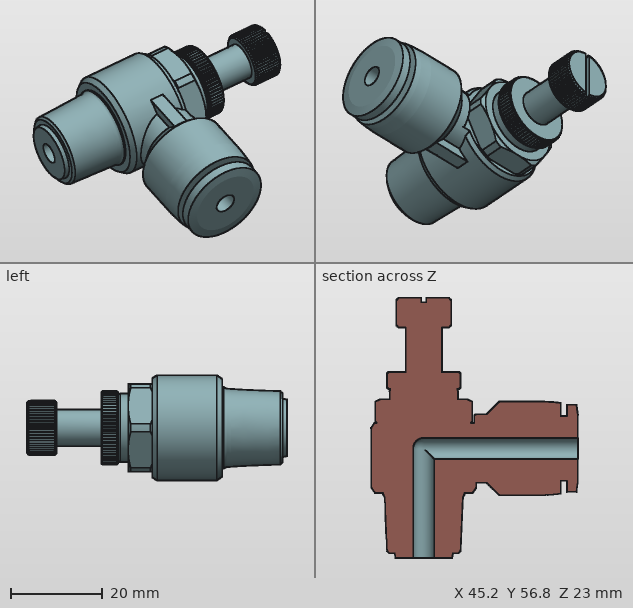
import cadquery as cq
import math

TUBE_Y = 23.9

NOSE_TIP_RADIUS = 6.2
NOSE_BASE_RADIUS = 6.4
NOSE_END = 1.0
THREAD_TIP_RADIUS = 7.55
THREAD_SMALL_RADIUS = 8.05
THREAD_LARGE_RADIUS = 8.5
THREAD_START = 1.55
THREAD_END = 12.2
RELIEF_RADIUS = 8.6
RELIEF_END = 13.0
SHOULDER_RADIUS = 8.9
SHOULDER_START = 13.8
RELIEF_FILLET = 1.0

BODY_DIAMETER = 23.0
BODY_RADIUS = BODY_DIAMETER / 2
BODY_BOTTOM = 14.15
BODY_TOP = 29.5
BOTTOM_CHAMFER_RADIAL = 0.85
BOTTOM_CHAMFER_AXIAL = 1.2
TOP_CHAMFER_RADIAL = 0.7
TOP_CHAMFER_AXIAL = 1.1

HEX_ACROSS_FLATS = 19.2
HEX_CORNER_RADIUS = 10.6
HEX_TOP = 34.65
HEX_TOP_CHAMFER_RADIAL = 0.95
HEX_TOP_CHAMFER_AXIAL = 0.5
HEX_BOTTOM_CHAMFER = 0.35

COLLAR_RADIUS = 7.5
COLLAR_EDGE = 36.4
COLLAR_TOP_RADIUS = 7.3
NUT_RADIUS = 8.05
NUT_BOTTOM = 36.85
NUT_TOP = 40.6
NUT_CHAMFER = 0.35
NUT_TEETH = 64
STEM_RADIUS = 4.05
HEAD_RADIUS = 6.0
HEAD_BOTTOM = 50.25
HEAD_TOP = 56.8
HEAD_CHAMFER = 0.5
HEAD_TEETH = 54
SLOT_WIDTH = 1.1
SLOT_DEPTH = 0.95
KNURL_DEPTH = 0.3

NECK_RADIUS = 7.5
NECK_START = 10.95
NECK_FILLET = 0.6
NECK_END = 13.7
BARREL_RADIUS = 10.3
BARREL_START = NECK_END + BARREL_RADIUS - NECK_RADIUS
TAPER_START = 25.6
TAPER_EDGE = 28.5
TAPER_EDGE_RADIUS = 10.1
BARREL_END = 29.95
BARREL_END_RADIUS = 9.95
SLEEVE_RADIUS = 7.1
FLANGE_RADIUS = 9.55
FLANGE_START = 31.25
FLANGE_END = 33.35
TIP_RADIUS = 7.4
OVERALL_WIDTH = 45.15
TIP_END = OVERALL_WIDTH - BODY_RADIUS

RIB_WIDTH = 3.1
RIB_HEIGHT = 19.15

BORE_RADIUS = 2.3


def chamfered_disc(radius, bottom, top, chamfer):
    """Disc on the main axis with both rims chamfered."""
    disc = cq.Workplane("XZ", origin=(0, bottom, 0)).circle(radius).extrude(bottom - top)
    return disc.edges().chamfer(chamfer)


def knurled_disc(radius, bottom, top, chamfer, teeth):
    """Chamfered disc whose rim carries straight V-shaped knurling."""
    outline = []
    for step in range(2 * teeth):
        angle = step * math.pi / teeth
        r = radius if step % 2 == 0 else radius - KNURL_DEPTH
        outline.append((r * math.cos(angle), r * math.sin(angle)))
    blank = cq.Workplane("XZ", origin=(0, bottom, 0)).polyline(outline).close().extrude(bottom - top)
    return blank.intersect(chamfered_disc(radius, bottom, top, chamfer))


def turned_core():
    """Threaded end, body, collar and stem as one turned profile."""
    profile = (
        cq.Workplane("XY")
        .moveTo(0, 0)
        .lineTo(NOSE_TIP_RADIUS, 0)
        .lineTo(NOSE_BASE_RADIUS, NOSE_END)
        .lineTo(THREAD_TIP_RADIUS, NOSE_END)
        .lineTo(THREAD_SMALL_RADIUS, THREAD_START)
        .lineTo(THREAD_LARGE_RADIUS, THREAD_END)
        .lineTo(RELIEF_RADIUS, RELIEF_END)
        .radiusArc((SHOULDER_RADIUS, SHOULDER_START), RELIEF_FILLET)
        .lineTo(SHOULDER_RADIUS, BODY_BOTTOM)
        .lineTo(BODY_RADIUS - BOTTOM_CHAMFER_RADIAL, BODY_BOTTOM)
        .lineTo(BODY_RADIUS, BODY_BOTTOM + BOTTOM_CHAMFER_AXIAL)
        .lineTo(BODY_RADIUS, BODY_TOP - TOP_CHAMFER_AXIAL)
        .lineTo(BODY_RADIUS - TOP_CHAMFER_RADIAL, BODY_TOP)
        .lineTo(COLLAR_RADIUS, BODY_TOP)
        .lineTo(COLLAR_RADIUS, COLLAR_EDGE)
        .lineTo(COLLAR_TOP_RADIUS, NUT_BOTTOM)
        .lineTo(STEM_RADIUS, NUT_BOTTOM)
        .lineTo(STEM_RADIUS, HEAD_BOTTOM)
        .lineTo(0, HEAD_BOTTOM)
        .close()
    )
    return profile.revolve(360, (0, 0, 0), (0, 1, 0))


def hexagon():
    """Hexagon with rounded corners and turned chamfers."""
    across_corners = HEX_ACROSS_FLATS / math.cos(math.pi / 6)
    prism = cq.Workplane("XZ", origin=(0, BODY_TOP, 0)).polygon(6, across_corners).extrude(BODY_TOP - HEX_TOP)
    turned = (
        cq.Workplane("XY")
        .moveTo(0, BODY_TOP)
        .lineTo(HEX_CORNER_RADIUS - HEX_BOTTOM_CHAMFER, BODY_TOP)
        .lineTo(HEX_CORNER_RADIUS, BODY_TOP + HEX_BOTTOM_CHAMFER)
        .lineTo(HEX_CORNER_RADIUS, HEX_TOP - HEX_TOP_CHAMFER_AXIAL)
        .lineTo(HEX_CORNER_RADIUS - HEX_TOP_CHAMFER_RADIAL, HEX_TOP)
        .lineTo(0, HEX_TOP)
        .close()
        .revolve(360, (0, 0, 0), (0, 1, 0))
    )
    return prism.intersect(turned)


def adjusting_head():
    """Knurled head with a screwdriver slot along Z."""
    head = knurled_disc(HEAD_RADIUS, HEAD_BOTTOM, HEAD_TOP, HEAD_CHAMFER, HEAD_TEETH)
    slot = cq.Workplane("XY").box(SLOT_WIDTH, 2 * SLOT_DEPTH, 2 * HEAD_RADIUS)
    return head.cut(slot.translate((0, HEAD_TOP, 0)))


def tube_socket():
    """Neck, coned barrel and release sleeve, turned about the tube axis."""
    profile = (
        cq.Workplane("XY", origin=(0, TUBE_Y, 0))
        .moveTo(NECK_START, 0)
        .lineTo(NECK_START, NECK_RADIUS - NECK_FILLET)
        .radiusArc((NECK_START + NECK_FILLET, NECK_RADIUS), NECK_FILLET)
        .lineTo(NECK_END, NECK_RADIUS)
        .lineTo(BARREL_START, BARREL_RADIUS)
        .lineTo(TAPER_START, BARREL_RADIUS)
        .lineTo(TAPER_EDGE, TAPER_EDGE_RADIUS)
        .lineTo(BARREL_END, BARREL_END_RADIUS)
        .lineTo(BARREL_END, SLEEVE_RADIUS)
        .lineTo(FLANGE_START, SLEEVE_RADIUS)
        .lineTo(FLANGE_START, FLANGE_RADIUS)
        .lineTo(FLANGE_END, FLANGE_RADIUS)
        .lineTo(TIP_END, TIP_RADIUS)
        .lineTo(TIP_END, 0)
        .close()
    )
    return profile.revolve(360, (0, 0, 0), (1, 0, 0))


def neck_root():
    """Part of the neck that runs into the body, kept below the hexagon seat."""
    length = NECK_START + NECK_FILLET
    root = cq.Workplane("YZ", origin=(0, TUBE_Y, 0)).circle(NECK_RADIUS).extrude(length)
    below_seat = cq.Workplane("XY").box(
        length, BODY_TOP - BODY_BOTTOM, 2 * NECK_RADIUS, centered=(False, False, True)
    )
    return root.intersect(below_seat.translate((0, BODY_BOTTOM, 0)))


def ribs():
    """Flat bar joining body and barrel; it stands proud of the neck at both +Z and -Z."""
    bar = cq.Workplane("XY").box(BARREL_START, RIB_WIDTH, RIB_HEIGHT, centered=(False, True, True))
    return bar.translate((0, TUBE_Y, 0))


def elbow_passage():
    """Bore from the threaded end, turning at a spherical corner to leave through the sleeve."""
    inlet = cq.Workplane("XZ").circle(BORE_RADIUS).extrude(-TUBE_Y)
    outlet = cq.Workplane("YZ", origin=(0, TUBE_Y, 0)).circle(BORE_RADIUS).extrude(TIP_END)
    corner = cq.Workplane("XY").sphere(BORE_RADIUS).translate((0, TUBE_Y, 0))
    return inlet.union(outlet).union(corner)


result = (
    turned_core()
    .union(hexagon())
    .union(knurled_disc(NUT_RADIUS, NUT_BOTTOM, NUT_TOP, NUT_CHAMFER, NUT_TEETH))
    .union(adjusting_head())
    .union(neck_root())
    .union(tube_socket())
    .union(ribs())
    .cut(elbow_passage())
)